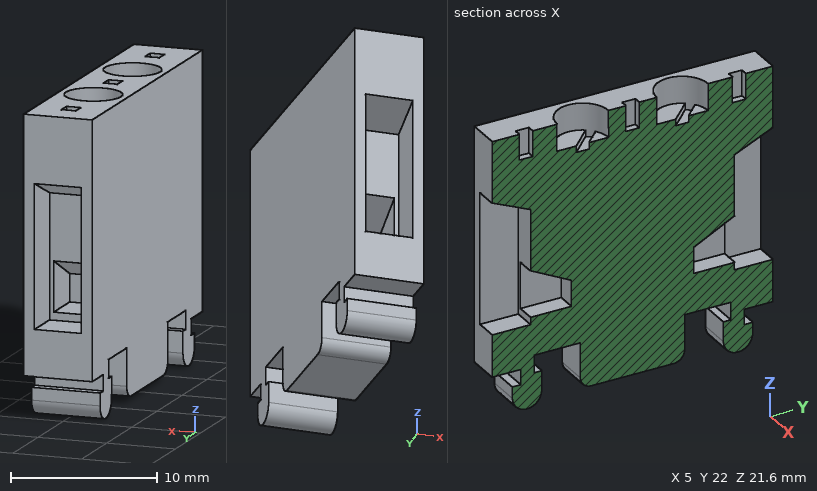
import cadquery as cq

WIDTH = 5.0
LENGTH = 22.0
BODY_HEIGHT = 18.4

RECESS_HEIGHT = 0.83
FOOT_HALF_LENGTH = 4.11
FOOT_DROP = 2.75
FOOT_CORNER_RADIUS = 0.9
HOOK_DROP = 3.2
HOOK_INNER = 7.1
STEM_INNER = 7.69
STEM_OUTER = 8.77
HOOK_OUTER = 9.43
INNER_BARB_DROP = 0.5
OUTER_BARB_DROP = 1.15
HOOK_RADIUS = (HOOK_OUTER - HOOK_INNER) / 2
HOOK_CENTRE = (HOOK_OUTER + HOOK_INNER) / 2

ENTRY_WIDTH = 3.4
ENTRY_FLOOR = BODY_HEIGHT - 15.07
ENTRY_MOUTH_TOP = BODY_HEIGHT - 4.82
ENTRY_BACK_TOP = BODY_HEIGHT - 6.13
ENTRY_DEPTH = 3.0
CLAMP_WIDTH = 2.8
CLAMP_FLOOR = BODY_HEIGHT - 14.5
CLAMP_MOUTH_TOP = BODY_HEIGHT - 10.9
CLAMP_BACK_TOP = BODY_HEIGHT - 12.5
CLAMP_DEPTH = 3.2

SCREW_Y = 3.9
WELL_DIAMETER = 4.0
WELL_DEPTH = 2.1
SLOT_WIDTH = 0.7
SLOT_DEPTH = 0.5
SLOT_ANGLE = -45.0

TEST_HOLE_SIZE = 1.03
TEST_HOLE_DEPTH = 2.0
TEST_HOLE_SPACING = 8.35
TEST_HOLE_COUNT = 3

SIDES = (-1, 1)


def make_body():
    """Block whose underside carries the rail recess."""
    block = cq.Workplane("XY").box(WIDTH, LENGTH, BODY_HEIGHT, centered=(True, True, False))
    recess = cq.Workplane("XY").box(
        WIDTH, 2 * STEM_INNER, RECESS_HEIGHT, centered=(True, True, False)
    )
    return block.cut(recess)


def make_foot():
    """Centre foot below the recess, rounded at its lower corners."""
    height = FOOT_DROP + RECESS_HEIGHT
    base = cq.Workplane("XY", origin=(0, 0, -FOOT_DROP))
    foot = base.box(WIDTH, 2 * FOOT_HALF_LENGTH, height, centered=(True, True, False))
    return foot.edges("|X and <Z").fillet(FOOT_CORNER_RADIUS)


def make_hook(side):
    """Latch hook: a narrow stem ending in a round-bottomed barbed head."""
    round_start = -HOOK_DROP + HOOK_RADIUS
    return (
        cq.Workplane("YZ", origin=(-WIDTH / 2, 0, 0))
        .moveTo(side * STEM_INNER, RECESS_HEIGHT)
        .lineTo(side * STEM_INNER, -INNER_BARB_DROP)
        .lineTo(side * HOOK_INNER, -INNER_BARB_DROP)
        .lineTo(side * HOOK_INNER, round_start)
        .threePointArc((side * HOOK_CENTRE, -HOOK_DROP), (side * HOOK_OUTER, round_start))
        .lineTo(side * HOOK_OUTER, -OUTER_BARB_DROP)
        .lineTo(side * STEM_OUTER, -OUTER_BARB_DROP)
        .lineTo(side * STEM_OUTER, RECESS_HEIGHT)
        .close()
        .extrude(WIDTH)
    )


def make_sloped_pocket(side, width, start, depth, floor, mouth_top, back_top):
    """Pocket with a flat floor and a ceiling that falls from its mouth to its back."""
    mouth_y = side * start
    back_y = side * (start - depth)
    corners = [(mouth_y, floor), (mouth_y, mouth_top), (back_y, back_top), (back_y, floor)]
    return (
        cq.Workplane("YZ", origin=(-width / 2, 0, 0))
        .polyline(corners)
        .close()
        .extrude(width)
    )


def make_wire_entry(side):
    """Funnel and inner clamp pocket in one end face."""
    funnel_start = LENGTH / 2
    clamp_start = funnel_start - ENTRY_DEPTH
    funnel = make_sloped_pocket(
        side, ENTRY_WIDTH, funnel_start, ENTRY_DEPTH, ENTRY_FLOOR, ENTRY_MOUTH_TOP, ENTRY_BACK_TOP
    )
    clamp = make_sloped_pocket(
        side, CLAMP_WIDTH, clamp_start, CLAMP_DEPTH, CLAMP_FLOOR, CLAMP_MOUTH_TOP, CLAMP_BACK_TOP
    )
    return funnel.union(clamp)


def make_screw_well(side):
    """Round well plus the driver slot cut across the screw head at its bottom."""
    head_z = BODY_HEIGHT - WELL_DEPTH
    base = cq.Workplane("XY", origin=(0, side * SCREW_Y, head_z))
    slot_base = base.transformed(rotate=(0, 0, SLOT_ANGLE))
    well = base.circle(WELL_DIAMETER / 2).extrude(WELL_DEPTH)
    slot = slot_base.rect(WELL_DIAMETER, SLOT_WIDTH).extrude(-SLOT_DEPTH)
    head = base.circle(WELL_DIAMETER / 2).extrude(-SLOT_DEPTH)
    return well.union(slot.intersect(head))


def make_test_holes():
    """Row of three square holes along the top centreline."""
    return (
        cq.Workplane("XY", origin=(0, 0, BODY_HEIGHT))
        .rarray(1, TEST_HOLE_SPACING, 1, TEST_HOLE_COUNT)
        .rect(TEST_HOLE_SIZE, TEST_HOLE_SIZE)
        .extrude(-TEST_HOLE_DEPTH)
    )


result = make_body().union(make_foot())
for side in SIDES:
    result = result.union(make_hook(side))
    result = result.cut(make_wire_entry(side))
    result = result.cut(make_screw_well(side))
result = result.cut(make_test_holes())